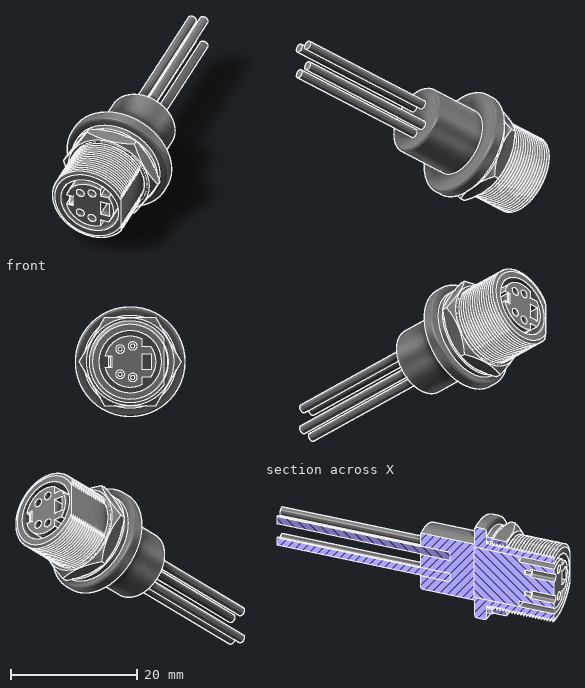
import cadquery as cq
import math


OVERALL_LENGTH = 47.24

thread_radius = 6.5
thread_pitch = 0.5
thread_depth = 0.54
thread_root_radius = thread_radius - thread_depth
thread_turns = 23
thread_length = thread_turns * thread_pitch
flat_offset = 5.33
flange_radius = 17.45 / 2
flange_thickness = 2.1
flange_edge_round = 0.5
bore_radius = 4.95
barrel_radius = 11.1 / 2
barrel_length = 9.25
barrel_edge_round = 0.5

washer_radius = 14.75 / 2
washer_thickness = 0.95
nut_across_flats = 14.05
nut_across_corners = nut_across_flats / math.cos(math.radians(30))
nut_thickness = 2.5
nut_face_radius = 6.95
nut_chamfer_height = 0.85

nose_radius = 4.07
nose_length = 6.0
insert_length = thread_length + flange_thickness
side_step_x = 1.85
side_step_half_height = 2.45
pocket_length_x = 1.55
pocket_height = 2.5
key_half_height = 0.93
key_floor_x = -2.85

blade_x = -3.42
blade_thickness = 0.26
blade_height = 1.5

contact_positions = [(x, side * z) for x, z in [(-1.6, 2.0), (0.4, 2.5)] for side in (1, -1)]
contact_radius = 0.68
contact_depth = 4.0
contact_core_radius = 0.33
contact_core_depth = 5.0
wire_radius = 0.72
wire_seat_depth = 5.0

mating_face_y = -thread_length
barrel_back_y = flange_thickness + barrel_length
wire_end_y = mating_face_y + OVERALL_LENGTH


def section_at(y):
    """Sketch plane across the socket axis, drawn in X and Z and extruded towards +Y."""
    return cq.Workplane(cq.Plane(origin=(0, y, 0), xDir=(1, 0, 0), normal=(0, 1, 0)))


def rod(radius, y_start, length, positions=((0, 0),)):
    """Round bars along Y, one at each (x, z) position."""
    points = [(x, -z) for x, z in positions]
    return section_at(y_start).pushPoints(points).circle(radius).extrude(length)


def block(x_min, x_max, z_min, z_max, y_start, length):
    """Rectangular bar along Y."""
    size = (x_max - x_min, length, z_max - z_min)
    return cq.Workplane("XY").box(*size, centered=False).translate((x_min, y_start, z_min))


def thread_rod():
    """Solid rod with ring-shaped ridges from the flange to the mating face."""
    profile = cq.Workplane("XY").moveTo(0, 0).lineTo(thread_root_radius, 0)
    for turn in range(thread_turns):
        profile = profile.lineTo(thread_radius, -(turn + 0.5) * thread_pitch)
        profile = profile.lineTo(thread_root_radius, -(turn + 1) * thread_pitch)
    return profile.lineTo(0, mating_face_y).close().revolve(360, (0, 0), (0, 1))


def make_housing():
    flat_cutter = block(flat_offset, thread_radius, -thread_radius, thread_radius,
                        mating_face_y, thread_length)
    flange = rod(flange_radius, 0, flange_thickness).edges().fillet(flange_edge_round)
    barrel = rod(barrel_radius, flange_thickness, barrel_length)
    barrel = barrel.faces(">Y").edges().fillet(barrel_edge_round)
    bore = rod(bore_radius, mating_face_y, insert_length)
    wire_seats = rod(wire_radius, barrel_back_y - wire_seat_depth, wire_seat_depth, contact_positions)
    body = flange.union(barrel).union(thread_rod().cut(flat_cutter))
    return body.cut(bore).cut(wire_seats)


def make_washer():
    hole = rod(thread_radius, -washer_thickness, washer_thickness)
    return rod(washer_radius, -washer_thickness, washer_thickness).cut(hole)


def make_nut():
    front_y = -washer_thickness - nut_thickness
    hexagon = section_at(front_y).polygon(6, nut_across_corners).extrude(nut_thickness)
    corner_radius = nut_across_corners / 2
    chamfered_disc = (
        cq.Workplane("XY")
        .moveTo(0, front_y)
        .lineTo(nut_face_radius, front_y)
        .lineTo(corner_radius, front_y + nut_chamfer_height)
        .lineTo(corner_radius, -washer_thickness - nut_chamfer_height)
        .lineTo(nut_face_radius, -washer_thickness)
        .lineTo(0, -washer_thickness)
        .close()
        .revolve(360, (0, 0), (0, 1))
    )
    return hexagon.intersect(chamfered_disc).cut(thread_rod())


def make_insert():
    nose_back_y = mating_face_y + nose_length
    base = rod(bore_radius, nose_back_y, insert_length - nose_length)
    insert = base.union(rod(nose_radius, mating_face_y, nose_length))

    upper_step = block(side_step_x, bore_radius, side_step_half_height, bore_radius,
                       mating_face_y, nose_length)
    insert = insert.cut(upper_step).cut(upper_step.mirror("XY"))

    insert = insert.cut(block(side_step_x, side_step_x + pocket_length_x,
                              -pocket_height / 2, pocket_height / 2, mating_face_y, nose_length))

    insert = insert.cut(block(-bore_radius, key_floor_x, -key_half_height, key_half_height,
                              mating_face_y, nose_length))

    insert = insert.cut(rod(contact_radius, mating_face_y, contact_depth, contact_positions))
    return insert.cut(rod(contact_core_radius, mating_face_y, contact_core_depth, contact_positions))


def make_wire(position):
    start_y = barrel_back_y - wire_seat_depth
    return rod(wire_radius, start_y, wire_end_y - start_y, [position])


def make_blade():
    return block(blade_x, blade_x + blade_thickness, -blade_height / 2, blade_height / 2,
                 mating_face_y, nose_length)


housing = make_housing()
washer = make_washer()
nut = make_nut()
insert = make_insert()
blade = make_blade()
wires = [make_wire(position) for position in contact_positions]

result = cq.Compound.makeCompound([
    housing.val(),
    washer.val(),
    nut.val(),
    insert.val(),
    blade.val(),
    *[wire.val() for wire in wires],
])